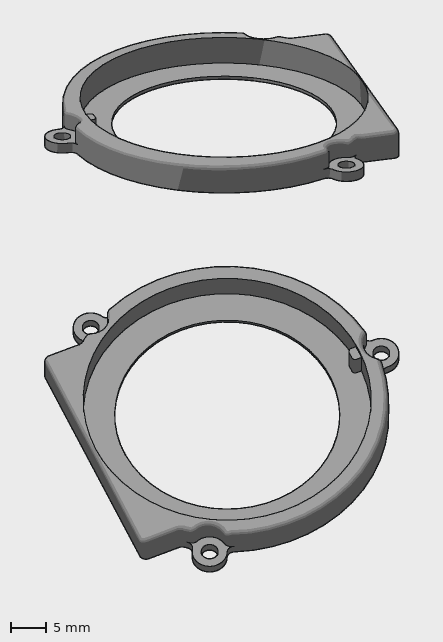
import cadquery as cq

ring_radius = 23.0
total_height = 4.5
block_half_width = 17.5
block_rear_y = 21.0
edge_radius = 1.0

recess_diameter = 41.0
window_diameter = 32.0
floor_thickness = 0.5

ear_angles = (-90.0, 30.0, 150.0)
ear_circle_radius = 24.0
ear_radius = 2.5
ear_thickness = 1.5
ear_blend_radius = 1.0
screw_hole_diameter = 2.4

tab_width = 2.0
tab_tip_y = -19.2
tab_root_y = -20.8
tab_corner_radius = 0.5
tab_top_z = 4.0


def at_ear_angles(shape):
    """Copies of a shape modelled on the +X axis, turned to each ear angle."""
    return [shape.rotate((0, 0, 0), (0, 0, 1), angle) for angle in ear_angles]


def beyond_block():
    """Everything behind the rear face of the block."""
    return (
        cq.Workplane("XY")
        .rect(2 * ring_radius, ring_radius)
        .extrude(total_height)
        .translate((0, block_rear_y + ring_radius / 2, 0))
    )


def make_housing():
    """Ring and block, notched above the ears, with rounded corners and top edge."""
    ring = cq.Workplane("XY").circle(ring_radius).extrude(total_height)
    ring = ring.rotate((0, 0, 0), (0, 0, 1), -90)
    block = (
        cq.Workplane("XY")
        .rect(2 * block_half_width, block_rear_y)
        .extrude(total_height)
        .translate((0, block_rear_y / 2, 0))
    )
    notch = cq.Workplane("XY").center(ear_circle_radius, 0).circle(ear_radius).extrude(total_height)

    housing = ring.union(block).cut(beyond_block())
    for cutter in at_ear_angles(notch):
        housing = housing.cut(cutter)
    return housing.edges("|Z or >Z").fillet(edge_radius)


def make_ear_plate():
    """One ear on +X, blended into a disc that fills the foot of the ring."""
    disc = cq.Workplane("XY").circle(ring_radius).extrude(ear_thickness)
    ear = cq.Workplane("XY").circle(ear_radius).extrude(ear_thickness)
    ear = ear.rotate((0, 0, 0), (0, 0, 1), 180).translate((ear_circle_radius, 0, 0))
    return disc.union(ear).edges("|Z").fillet(ear_blend_radius)


def make_screw_hole():
    """Through hole of the ear on +X."""
    return (
        cq.Workplane("XY")
        .center(ear_circle_radius, 0)
        .circle(screw_hole_diameter / 2)
        .extrude(ear_thickness)
    )


def make_recess():
    """Round recess above the floor, together with the window through the floor."""
    recess = (
        cq.Workplane("XY")
        .workplane(offset=floor_thickness)
        .circle(recess_diameter / 2)
        .extrude(total_height - floor_thickness)
    )
    window = cq.Workplane("XY").circle(window_diameter / 2).extrude(floor_thickness)
    return recess.union(window)


def make_tab():
    """Tab standing on the floor, with two rounded tip corners."""
    length = tab_tip_y - tab_root_y
    return (
        cq.Workplane("XY")
        .workplane(offset=floor_thickness)
        .center(0, (tab_tip_y + tab_root_y) / 2)
        .rect(tab_width, length)
        .extrude(tab_top_z - floor_thickness)
        .edges("|Z and >Y")
        .fillet(tab_corner_radius)
    )


result = make_housing()
for ear_plate in at_ear_angles(make_ear_plate()):
    result = result.union(ear_plate.cut(beyond_block()))
for screw_hole in at_ear_angles(make_screw_hole()):
    result = result.cut(screw_hole)
result = result.cut(make_recess()).union(make_tab())